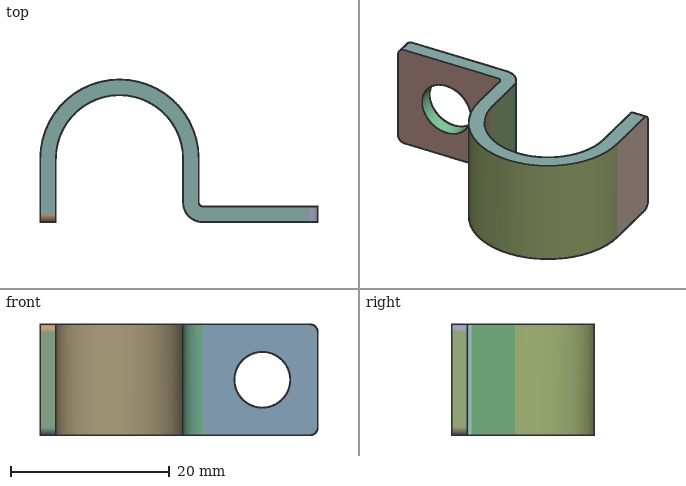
import cadquery as cq

thickness = 2.0
width = 14.0
pipe_radius = 8.0
saddle_height = 18.0
overall_length = 35.0
bend_inner_radius = 0.5
corner_radius = 1.0
hole_diameter = 7.0
hole_edge_distance = 7.0

outer_radius = pipe_radius + thickness
bend_outer_radius = bend_inner_radius + thickness
base_y = outer_radius - saddle_height
flange_top_y = base_y + thickness
flange_end_x = overall_length - outer_radius
bend_center_x = outer_radius + bend_inner_radius
bend_center_y = flange_top_y + bend_inner_radius
hole_x = flange_end_x - hole_edge_distance


def bent_strip():
    """Free leg, half-round saddle, second leg, bend and flange as one extrusion."""
    profile = (
        cq.Workplane("XY")
        .workplane(offset=-width / 2)
        .moveTo(-outer_radius, base_y)
        .lineTo(-outer_radius, 0)
        .threePointArc((0, outer_radius), (outer_radius, 0))
        .lineTo(outer_radius, bend_center_y)
        .radiusArc((bend_center_x, flange_top_y), -bend_inner_radius)
        .lineTo(flange_end_x, flange_top_y)
        .lineTo(flange_end_x, base_y)
        .lineTo(bend_center_x, base_y)
        .radiusArc((pipe_radius, bend_center_y), bend_outer_radius)
        .lineTo(pipe_radius, 0)
        .threePointArc((0, pipe_radius), (-pipe_radius, 0))
        .lineTo(-pipe_radius, base_y)
        .close()
    )
    return profile.extrude(width)


def round_end_corners(strip):
    """Round the two corners of the flange end and the two of the free leg."""
    strip = strip.edges("|Y").edges(">X").fillet(corner_radius)
    return strip.edges("|X").edges("<X").fillet(corner_radius)


def mounting_hole():
    """Cylinder along Y that passes through the flange."""
    return (
        cq.Workplane("XZ", origin=(hole_x, flange_top_y, 0))
        .circle(hole_diameter / 2)
        .extrude(thickness)
    )


result = round_end_corners(bent_strip()).cut(mounting_hole())